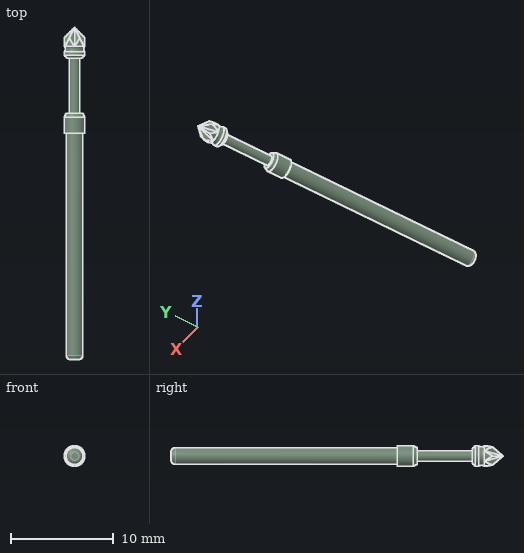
import cadquery as cq
import math

length = 32.3
tip_y = length / 2
tube_end_y = -length / 2

head_radius = 1.0
head_rear_radius = 0.7
groove_depth = 0.1
rod_radius = 0.52
sleeve_radius = head_radius
tube_diameter = 1.65
tube_radius = tube_diameter / 2
tube_rounding = 0.42

groove_start = 1.8
groove_end = 2.4
head_chamfer_start = 2.7
head_end = head_chamfer_start + head_radius - head_rear_radius
sleeve_start = 8.33
sleeve_full = 8.72
sleeve_end = 10.3

flute_count = 6
crest_slope = 1.0
valley_slope = head_radius / groove_start


def make_body():
    """Revolve the stepped profile about Y, with a plain cylinder where the tip will be."""
    groove_bottom = (head_radius - groove_depth, tip_y - (groove_start + groove_end) / 2)
    rounding_start_y = tube_end_y + tube_rounding
    rounding_centre_radius = tube_radius - tube_rounding
    arc_offset = tube_rounding * math.sqrt(0.5)
    arc_middle = (rounding_centre_radius + arc_offset, rounding_start_y - arc_offset)
    profile = (
        cq.Workplane("XY")
        .moveTo(0, tip_y)
        .lineTo(head_radius, tip_y)
        .lineTo(head_radius, tip_y - groove_start)
        .threePointArc(groove_bottom, (head_radius, tip_y - groove_end))
        .lineTo(head_radius, tip_y - head_chamfer_start)
        .lineTo(head_rear_radius, tip_y - head_end)
        .lineTo(rod_radius, tip_y - head_end)
        .lineTo(rod_radius, tip_y - sleeve_start)
        .lineTo(tube_radius, tip_y - sleeve_start)
        .lineTo(sleeve_radius, tip_y - sleeve_full)
        .lineTo(sleeve_radius, tip_y - sleeve_end)
        .lineTo(tube_radius, tip_y - sleeve_end)
        .lineTo(tube_radius, rounding_start_y)
        .threePointArc(arc_middle, (rounding_centre_radius, tube_end_y))
        .lineTo(0, tube_end_y)
        .close()
    )
    return profile.revolve(360, (0, 0, 0), (0, 1, 0))


def make_star_pyramid(depth):
    """Star-based pyramid with its apex at the tip; crests point along +X, -X and every 60 degrees."""
    crest_radius = depth * crest_slope
    valley_radius = depth * valley_slope
    base_y = tip_y - depth
    apex = cq.Vector(0, tip_y, 0)
    corners = []
    for i in range(2 * flute_count):
        radius = crest_radius if i % 2 == 0 else valley_radius
        angle = math.pi * i / flute_count
        corners.append(cq.Vector(radius * math.cos(angle), base_y, radius * math.sin(angle)))

    def face(points):
        return cq.Face.makeFromWires(cq.Wire.makePolygon(points, close=True))

    faces = [face(corners)]
    for start, end in zip(corners, corners[1:] + corners[:1]):
        faces.append(face([start, end, apex]))
    return cq.Workplane(cq.Solid.makeSolid(cq.Shell.makeShell(faces)))


def make_tip_cutter():
    """Material around the star pyramid, removed from the front of the head."""
    blank = cq.Workplane("XZ", origin=(0, tip_y, 0)).circle(2 * head_radius).extrude(groove_start)
    return blank.cut(make_star_pyramid(groove_start))


result = make_body().cut(make_tip_cutter())